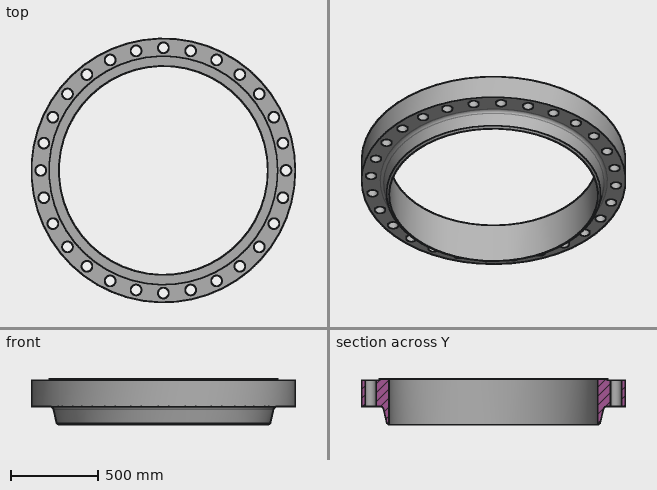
import cadquery as cq
import math

INCH = 25.4

flange_diameter = 59.5 * INCH
flange_thickness = 6.0 * INCH
bore_diameter = 47.0 * INCH

raised_face_diameter = 51.5 * INCH
raised_face_height = 0.25 * INCH

length_below_face = 10.125 * INCH
hub_base_diameter = 1268.4
weld_end_diameter = 1225.0
hub_fillet_radius = 20.0
weld_land_width = 1.6
bevel_angle = 37.5
selection_margin = 1.0

bolt_count = 28
bolt_circle_diameter = 55.25 * INCH
bolt_hole_diameter = 2.375 * INCH

ring_top = length_below_face
ring_bottom = ring_top - flange_thickness
face_top = ring_top + raised_face_height

bore_radius = bore_diameter / 2
weld_land_radius = bore_radius + weld_land_width
weld_end_radius = weld_end_diameter / 2
bevel_height = (weld_end_radius - weld_land_radius) * math.tan(math.radians(bevel_angle))


def flange_body():
    """Revolve the half section (radius, height) about Z."""
    section = [
        (bore_radius, 0),
        (weld_land_radius, 0),
        (weld_end_radius, bevel_height),
        (hub_base_diameter / 2, ring_bottom),
        (flange_diameter / 2, ring_bottom),
        (flange_diameter / 2, ring_top),
        (raised_face_diameter / 2, ring_top),
        (raised_face_diameter / 2, face_top),
        (bore_radius, face_top),
    ]
    return cq.Workplane("XZ").polyline(section).close().revolve(360, (0, 0, 0), (0, 1, 0))


def fillet_hub_root(body):
    """Round the inside corner between the hub cone and the ring underside."""
    underside_slab = cq.selectors.BoxSelector(
        (-flange_diameter, -flange_diameter, ring_bottom - selection_margin),
        (flange_diameter, flange_diameter, ring_bottom + selection_margin),
        boundingbox=True,
    )
    smallest_circle = cq.selectors.RadiusNthSelector(0)
    hub_root = body.edges("%CIRCLE").edges(underside_slab).edges(smallest_circle)
    return hub_root.fillet(hub_fillet_radius)


def bolt_holes():
    """Ring of through-hole cutters, the first one on the +X axis."""
    return (
        cq.Workplane("XY")
        .workplane(offset=ring_bottom)
        .polarArray(bolt_circle_diameter / 2, 0, 360, bolt_count)
        .circle(bolt_hole_diameter / 2)
        .extrude(flange_thickness)
    )


result = fillet_hub_root(flange_body()).cut(bolt_holes())